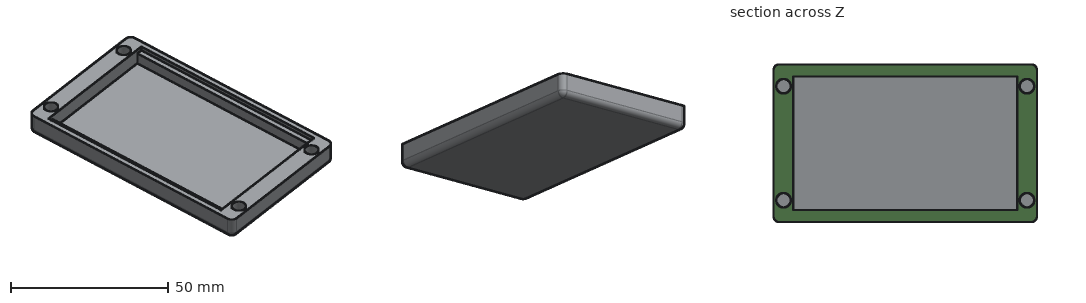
import cadquery as cq

length = 84.0
width = 50.4
height = 7.6
edge_radius = 2.0

wall = 2.0
ledge_width = 2.0
ledge_depth = 1.5
floor_thickness = 2.0
recess_length = 71.2
recess_width = width - 2 * wall
pocket_width = recess_width - 2 * ledge_width

hole_diameter = 4.5
hole_spacing_x = 77.4
hole_spacing_y = 36.3
hole_depth = height - floor_thickness


def make_body():
    """Block with rounded vertical corners and a rounded bottom rim."""
    block = cq.Workplane("XY").box(length, width, height, centered=(True, True, False))
    return block.edges("|Z").fillet(edge_radius).faces("<Z").edges().fillet(edge_radius)


def top_cutter(size_y, depth):
    """Rectangular cutter of the recess length, reaching down from the top face."""
    return (
        cq.Workplane("XY", origin=(0, 0, height - depth))
        .rect(recess_length, size_y)
        .extrude(depth)
    )


def corner_holes():
    """Four round cutters, one near each corner."""
    return (
        cq.Workplane("XY", origin=(0, 0, height - hole_depth))
        .rect(hole_spacing_x, hole_spacing_y, forConstruction=True)
        .vertices()
        .circle(hole_diameter / 2)
        .extrude(hole_depth)
    )


result = (
    make_body()
    .cut(top_cutter(recess_width, ledge_depth))
    .cut(top_cutter(pocket_width, height - floor_thickness))
    .cut(corner_holes())
)